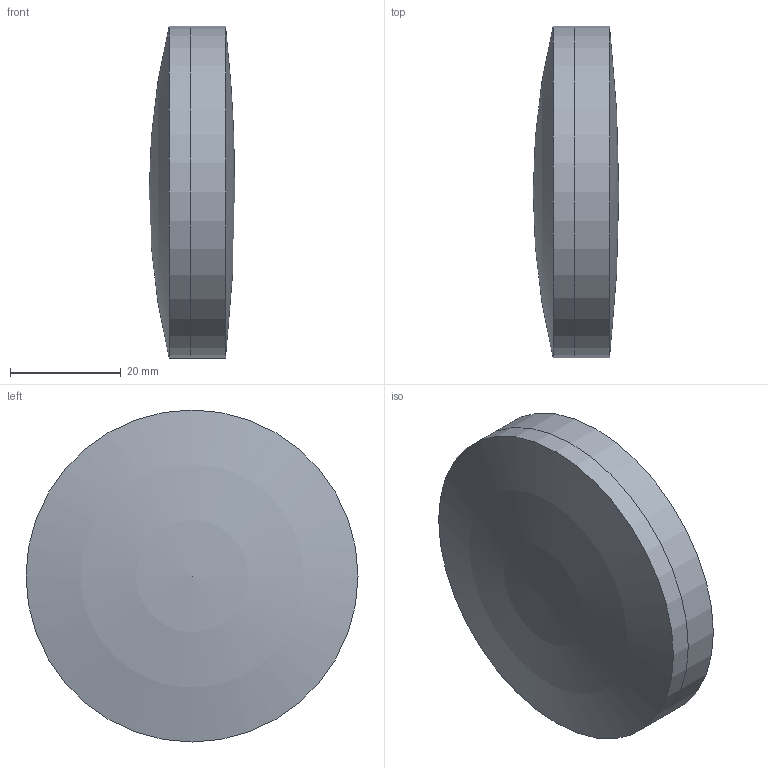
import cadquery as cq
import math

lens_radius = 30.0
total_thickness = 15.47
front_sag = 3.6
front_rim = 3.8
rear_rim = 6.4
rear_sag = total_thickness - front_sag - front_rim - rear_rim

joint_x = front_sag + front_rim

TOWARD_FRONT = -1
TOWARD_REAR = 1


def lens_element(rim, sag, direction):
    """Round element with its flat face at joint_x, and its rim and then its dome along direction."""
    rim_x = joint_x + direction * rim
    apex_x = rim_x + direction * sag

    dome_radius = (lens_radius**2 + sag**2) / (2 * sag)
    middle_height = lens_radius / 2
    middle_drop = dome_radius - math.sqrt(dome_radius**2 - middle_height**2)
    arc_middle = (apex_x - direction * middle_drop, middle_height)

    half_profile = (
        cq.Workplane("XZ")
        .moveTo(joint_x, 0)
        .lineTo(joint_x, lens_radius)
        .lineTo(rim_x, lens_radius)
        .threePointArc(arc_middle, (apex_x, 0))
        .close()
    )
    return half_profile.revolve(360, (0, 0, 0), (1, 0, 0))


front_element = lens_element(front_rim, front_sag, TOWARD_FRONT)
rear_element = lens_element(rear_rim, rear_sag, TOWARD_REAR)

result = cq.Compound.makeCompound([front_element.val(), rear_element.val()])